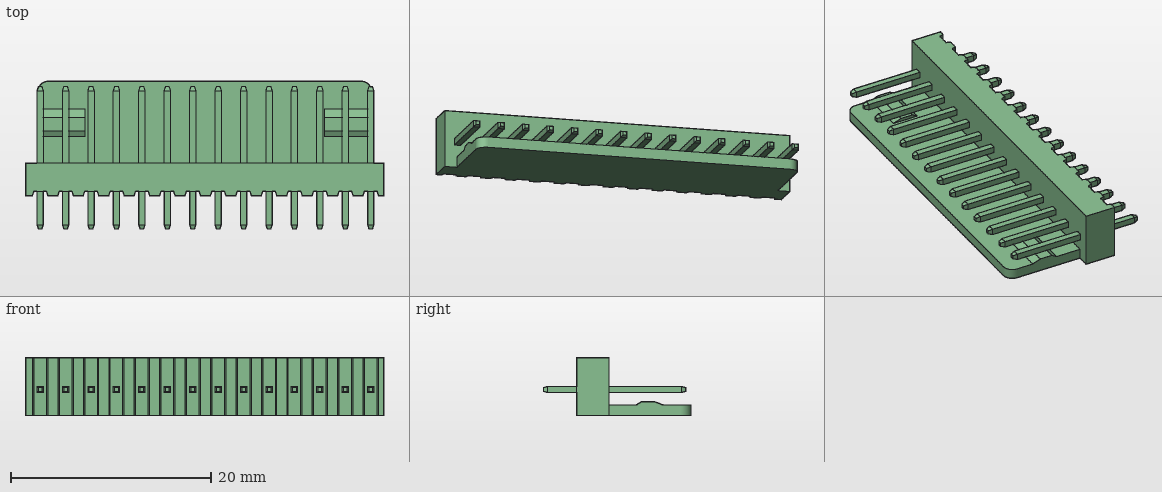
import cadquery as cq


housing_length = 35.8
housing_depth = 3.25
housing_height = 5.8

pin_count = 14
pin_pitch = 2.55
row_offset = 0.07
pin_xs = [row_offset + (i - (pin_count - 1) / 2) * pin_pitch for i in range(pin_count)]

pin_width = 0.65
pin_tip_width = 0.35
pin_taper_length = 0.43
pin_center_z = 2.6
pin_front_reach = 3.33
pin_back_reach = 7.65

groove_mouth_width = 1.55
groove_floor_width = 1.25
groove_depth = 0.43

tab_length = 33.3
tab_reach = 8.2
tab_thickness = 1.07
tab_corner_radius = 1.0

ridge_length = 4.65
ridge_height = 0.32
ridge_back_foot = 2.8
ridge_back_crest = 3.65
ridge_front_crest = 4.98
ridge_front_foot = 5.5


def make_housing():
    return cq.Workplane("XY").box(
        housing_length, housing_depth, housing_height, centered=(True, False, False)
    )


def make_groove(x):
    """Trapezoidal cutter, wider at the front face than at its floor."""
    return (
        cq.Workplane("XY")
        .polyline([
            (x - groove_mouth_width / 2, 0),
            (x + groove_mouth_width / 2, 0),
            (x + groove_floor_width / 2, groove_depth),
            (x - groove_floor_width / 2, groove_depth),
        ])
        .close()
        .extrude(housing_height)
    )


def make_tab():
    return (
        cq.Workplane("XY")
        .workplane(origin=(0, housing_depth, 0))
        .box(tab_length, tab_reach, tab_thickness, centered=(True, False, False))
        .edges("|Z and >Y")
        .fillet(tab_corner_radius)
    )


def make_ridge(x_start):
    """Ridge with sloped flanks on top of the tab, running in +X from x_start."""
    tab_edge_y = housing_depth + tab_reach
    crest_z = tab_thickness + ridge_height
    return (
        cq.Workplane("YZ", origin=(x_start, 0, 0))
        .polyline([
            (tab_edge_y - ridge_front_foot, tab_thickness),
            (tab_edge_y - ridge_front_crest, crest_z),
            (tab_edge_y - ridge_back_crest, crest_z),
            (tab_edge_y - ridge_back_foot, tab_thickness),
        ])
        .close()
        .extrude(ridge_length)
    )


def make_pin_end(x, shank_end_y, tip_y):
    """Square taper from the pin shank down to its flat tip."""
    return (
        cq.Workplane("XZ", origin=(x, shank_end_y, pin_center_z))
        .rect(pin_width, pin_width)
        .workplane(offset=shank_end_y - tip_y)
        .rect(pin_tip_width, pin_tip_width)
        .loft()
    )


def make_pin(x):
    front_tip_y = -pin_front_reach
    back_tip_y = housing_depth + pin_back_reach
    shank_front_y = front_tip_y + pin_taper_length
    shank_back_y = back_tip_y - pin_taper_length
    shank = cq.Workplane("XY").box(
        pin_width, shank_back_y - shank_front_y, pin_width, centered=(True, False, True)
    ).translate((x, shank_front_y, pin_center_z))
    front_end = make_pin_end(x, shank_front_y, front_tip_y)
    back_end = make_pin_end(x, shank_back_y, back_tip_y)
    return shank.union(front_end).union(back_end)


result = make_housing().union(make_tab())
for ridge_x in (-tab_length / 2, tab_length / 2 - ridge_length):
    result = result.union(make_ridge(ridge_x))
for pin_x in pin_xs:
    result = result.cut(make_groove(pin_x)).union(make_pin(pin_x))